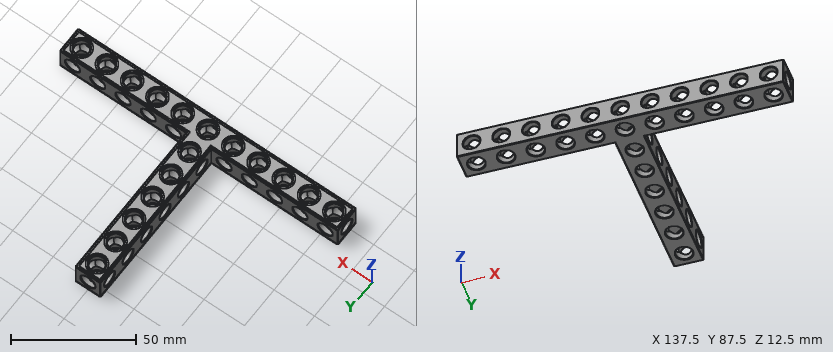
import cadquery as cq

beam_length = 137.5
bar_count = 11
stem_count = 6
unit = beam_length / bar_count

hole_diameter = 7.0
edge_chamfer = 0.3
rim_diameter = 9.2
border_width = (rim_diameter - hole_diameter) / 2
panel_depth = 0.1

half_unit = unit / 2
bar_end = beam_length / 2
stem_tip = half_unit + stem_count * unit

bar_positions = [(i - (bar_count - 1) / 2) * unit for i in range(bar_count)]
stem_positions = [(i + 1) * unit for i in range(stem_count)]
grid_points = [(x, 0) for x in bar_positions] + [(0, y) for y in stem_positions]


def tee_prism(inset, bottom, height):
    """T-shaped prism whose walls lie a given inset inside the beam's walls."""
    side = half_unit - inset
    end = bar_end - inset
    tip = stem_tip - inset
    outline = [
        (-end, -side), (end, -side), (end, side), (side, side),
        (side, tip), (-side, tip), (-side, side), (-end, side),
    ]
    return cq.Workplane("XY").workplane(offset=bottom).polyline(outline).close().extrude(height)


def make_body():
    """T-shaped beam with all edges chamfered except the two vertical inner corners."""
    body = tee_prism(0, -half_unit, unit)
    margin = half_unit / 2
    inner_corners = cq.selectors.BoxSelector(
        (-half_unit - margin, half_unit - margin, -margin),
        (half_unit + margin, half_unit + margin, margin),
    )
    all_edges = cq.selectors.BoxSelector(
        (-beam_length, -beam_length, -beam_length), (beam_length, beam_length, beam_length)
    )
    return body.edges(all_edges - inner_corners).chamfer(edge_chamfer)


def hole_cutter(start, end):
    """Round through-hole between two opposite faces, chamfered at both mouths."""
    start = cq.Vector(*start)
    end = cq.Vector(*end)
    span = end - start
    direction = span.normalized()
    radius = hole_diameter / 2
    mouth_radius = radius + edge_chamfer
    shaft = cq.Solid.makeCylinder(radius, span.Length, start, direction)
    entry = cq.Solid.makeCone(mouth_radius, radius, edge_chamfer, start, direction)
    exit_mouth = cq.Solid.makeCone(mouth_radius, radius, edge_chamfer, end, direction * -1)
    return [shaft, entry, exit_mouth]


def hole_cutters():
    """Holes along X, Y and Z through every unit of the beam."""
    cutters = hole_cutter((-bar_end, 0, 0), (bar_end, 0, 0))
    for x, y in grid_points:
        cutters += hole_cutter((x, y, -half_unit), (x, y, half_unit))
    for x in bar_positions:
        far_wall = stem_tip if x == 0 else half_unit
        cutters += hole_cutter((x, -half_unit, 0), (x, far_wall, 0))
    for y in stem_positions:
        cutters += hole_cutter((-half_unit, y, 0), (half_unit, y, 0))
    return cutters


def make_panel():
    """Shallow recess in the top face, leaving a border along the walls and a rim round each hole."""
    floor = half_unit - panel_depth
    rims = (
        cq.Workplane("XY").workplane(offset=floor)
        .pushPoints(grid_points).circle(rim_diameter / 2).extrude(panel_depth)
    )
    return tee_prism(border_width, floor, panel_depth).cut(rims)


result = make_body().cut(make_panel())
for cutter in hole_cutters():
    result = result.cut(cq.Workplane(obj=cutter))